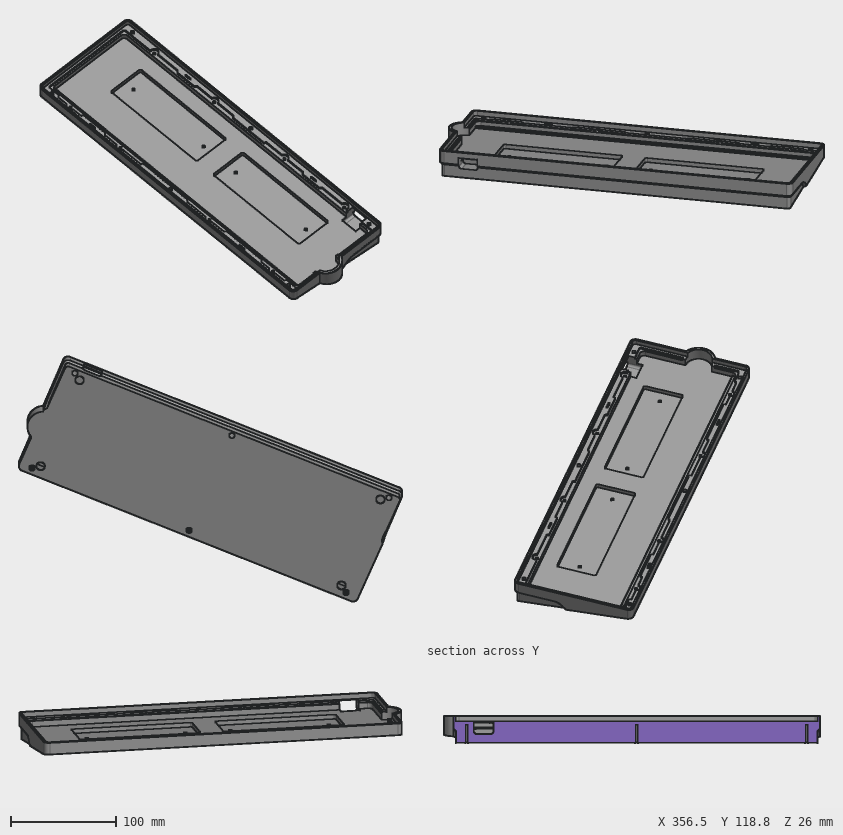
import cadquery as cq
import math

total_length = 356.5
tray_length = 347.8
tray_width = 118.8
front_height = 11.8
back_height = 26.0
corner_radius = 5.0
rim_chamfer = 0.5
half_length = tray_length / 2
half_width = tray_width / 2

margin = 18.0
pick_slack = 0.5

ledge_depth = 5.0
trough_depth = 6.8
floor_depth = 12.5
strip_depth = 11.0
panel_depth = 16.8
port_depth = 17.0

rim_width = 2.0
rim_corner_radius = corner_radius - rim_width
trough_half_length = 169.0
trough_half_width = 50.0
trough_corner_radius = 1.8
floor_half_length = 167.0
floor_half_width = 47.8
floor_corner_radius = 4.3
strip_edge_y = -43.5

tab_outer_radius = 16.0
tab_inner_radius = 13.2
tab_x = total_length - half_length - tab_outer_radius
tab_y = -9.5

undercut = 2.0
undercut_depth = 14.45
undercut_front_y = 15.5

bay_depth = 2.0
bay_corner = 1.0
back_bays = ((-129.5, -97.0), (-73.5, -21.0), (21.0, 73.5), (97.0, 129.5))
front_bays = ((-155.0, -121.5), (-91.5, -40.3), (20.7, 73.0), (121.5, 155.0))
back_bosses = (-129.5, -47.8, 47.8, 129.5)
front_bosses = (-138.0, -70.0, 51.5, 138.0)
boss_y = 51.18
boss_diameter = 8.2
pilot_diameter = 2.5
pilot_depth = 3.5

screw_x = 161.2
screw_y = 53.0
screw_diameter = 3.5
head_diameter = 5.5
head_seat_depth = 8.5
slot_length = 7.0
slot_width = 1.5
slot_depth = 4.0
back_slots = (-85.5, 85.5)
front_slots = (-106.3, 97.5)
foot_x = 154.5
foot_y = 48.0
foot_diameter = 8.2
foot_depth = 1.0

panel_length = 117.5
panel_width = 39.2
panel_corner_radius = 1.8
panel_x = 69.73
panel_y = 12.0
panel_hole_spacing = 95.5
panel_hole_diameter = 2.8
panel_hole_depth = 2.0

port_x = 145.0
port_width = 18.5
port_corner_radius = 2.5
port_front_y = 42.0
port_lintel_y = 56.5
port_lintel_depth = 5.7


def rounded_block(length, width, radius, top, bottom):
    """Upright block centred on the tray, with rounded corners, between two depths below the rim."""
    return (
        cq.Workplane("XY", origin=(0, 0, -bottom))
        .rect(length, width)
        .extrude(bottom - top)
        .edges("|Z")
        .fillet(radius)
    )


def disc(x, y, diameter, top, bottom):
    """Upright cylinder between two depths below the rim."""
    return cq.Workplane("XY", origin=(x, y, -bottom)).circle(diameter / 2).extrude(bottom - top)


def side_prism(points):
    """Prism along X through the whole part, from (Y, Z) points."""
    reach = total_length + 2 * margin
    return cq.Workplane("YZ").polyline(points).close().extrude(reach / 2, both=True)


def undercut_tray():
    """Tray block over-deep at the bottom, its lower back half set in under a bevelled step."""
    base = back_height + margin
    diagonal_drop = base - undercut_depth
    diagonal_end_y = undercut_front_y - diagonal_drop
    lower_space = side_prism(
        [
            (half_width + margin, -undercut_depth),
            (undercut_front_y, -undercut_depth),
            (diagonal_end_y, -base),
            (half_width + margin, -base),
        ]
    )
    step_edges = cq.selectors.BoxSelector(
        (-total_length, diagonal_end_y + pick_slack, -base + pick_slack),
        (total_length, total_length, -undercut_depth + pick_slack),
    ) - cq.selectors.ParallelDirSelector(cq.Vector(0, 0, 1))
    upper = (
        rounded_block(tray_length, tray_width, corner_radius, 0, base)
        .cut(lower_space)
        .edges(step_edges)
        .chamfer(undercut)
    )
    lower = rounded_block(
        tray_length - 2 * undercut, tray_width - 2 * undercut, corner_radius - undercut, trough_depth, base
    )
    return upper.union(lower.intersect(lower_space))


def wedge_body():
    """Tray and tab with the underside falling from front to back and the top edge broken."""
    body = undercut_tray().union(disc(tab_x, tab_y, 2 * tab_outer_radius, 0, back_height))
    far_below = -back_height - 2 * margin
    below = side_prism(
        [
            (-half_width - margin, -front_height),
            (-half_width, -front_height),
            (half_width - undercut, -back_height),
            (half_width + margin, -back_height),
            (half_width + margin, far_below),
            (-half_width - margin, far_below),
        ]
    )
    return body.cut(below).faces(">Z").edges().chamfer(rim_chamfer)


def trough():
    """Shallow recess inside the ledge, widened by the bays and bosses, stopping short of the tab."""
    cutter = rounded_block(
        2 * trough_half_length, 2 * trough_half_width, trough_corner_radius, ledge_depth, trough_depth
    )
    for side, bays, bosses in ((1, back_bays, back_bosses), (-1, front_bays, front_bosses)):
        for start, end in bays:
            outline = [
                (start, 0),
                (start, side * trough_half_width),
                (start + bay_corner, side * (trough_half_width + bay_depth)),
                (end - bay_corner, side * (trough_half_width + bay_depth)),
                (end, side * trough_half_width),
                (end, 0),
            ]
            bay = cq.Workplane("XY", origin=(0, 0, -trough_depth)).polyline(outline).close()
            cutter = cutter.union(bay.extrude(trough_depth - ledge_depth))
        for x in bosses:
            cutter = cutter.union(disc(x, side * boss_y, boss_diameter, ledge_depth, trough_depth))
    return cutter.cut(disc(tab_x, tab_y, 2 * tab_outer_radius, 0, back_height))


def main_floor():
    """Deep pocket with a raised strip along the front, running out into the tab."""
    pocket = rounded_block(
        2 * floor_half_length, 2 * floor_half_width, floor_corner_radius, ledge_depth, floor_depth
    )
    strip = side_prism(
        [
            (-half_width, -strip_depth),
            (strip_edge_y, -strip_depth),
            (strip_edge_y, -floor_depth),
            (-half_width, -floor_depth),
        ]
    )
    return pocket.cut(strip).union(disc(tab_x, tab_y, 2 * tab_inner_radius, -margin, floor_depth))


def panel(x):
    """Sunken panel with a blind hole near each end."""
    cutter = rounded_block(panel_length, panel_width, panel_corner_radius, ledge_depth, panel_depth)
    for side in (-1, 1):
        hole = disc(
            side * panel_hole_spacing / 2, 0, panel_hole_diameter, ledge_depth, panel_depth + panel_hole_depth
        )
        cutter = cutter.union(hole)
    return cutter.translate((x, panel_y, 0))


def cable_port():
    """Channel through the back wall with rounded lower corners, under a thin lintel at the wall."""
    length = half_width + margin - port_front_y
    channel = (
        cq.Workplane("XY", origin=(port_x, port_front_y + length / 2, -port_depth))
        .rect(port_width, length)
        .extrude(port_depth - ledge_depth)
        .edges("|Y and <Z")
        .fillet(port_corner_radius)
    )
    lintel = side_prism(
        [
            (port_lintel_y, -ledge_depth),
            (half_width + margin, -ledge_depth),
            (half_width + margin, -port_lintel_depth),
            (port_lintel_y, -port_lintel_depth),
        ]
    )
    return channel.cut(lintel)


def ledge_slot(x, y):
    """Blind round-ended slot in the ledge."""
    bottom = cq.Workplane("XY", origin=(x, y, -ledge_depth - slot_depth))
    return bottom.slot2D(slot_length, slot_width).extrude(slot_depth)


def screw_hole(x, y):
    """Through hole from the ledge with a counterbore from below."""
    shank = disc(x, y, screw_diameter, 0, back_height)
    return shank.union(disc(x, y, head_diameter, head_seat_depth, back_height))


def foot_recess(x, y):
    """Shallow round recess square to the sloping underside."""
    slope = math.atan2(back_height - front_height, tray_width - undercut)
    front_edge = cq.Plane(origin=(0, -half_width, -front_height))
    underside = front_edge.rotated((-math.degrees(slope), 0, 0))
    along = (y + half_width) / math.cos(slope)
    return cq.Workplane(underside).center(x, along).circle(foot_diameter / 2).extrude(foot_depth)


rim_opening = rounded_block(
    tray_length - 2 * rim_width, tray_width - 2 * rim_width, rim_corner_radius, -margin, ledge_depth
)
result = wedge_body().cut(rim_opening).cut(trough()).cut(main_floor()).cut(cable_port())
for x in (-panel_x, panel_x):
    result = result.cut(panel(x))

for side, bosses, slots in ((1, back_bosses, back_slots), (-1, front_bosses, front_slots)):
    for x in bosses:
        pilot = disc(x, side * boss_y, pilot_diameter, trough_depth, trough_depth + pilot_depth)
        result = result.cut(pilot)
    for x in slots:
        result = result.cut(ledge_slot(x, side * screw_y))
    for x in (-screw_x, 0, screw_x):
        result = result.cut(screw_hole(x, side * screw_y))
    for x in (-foot_x, foot_x):
        result = result.cut(foot_recess(x, side * foot_y))